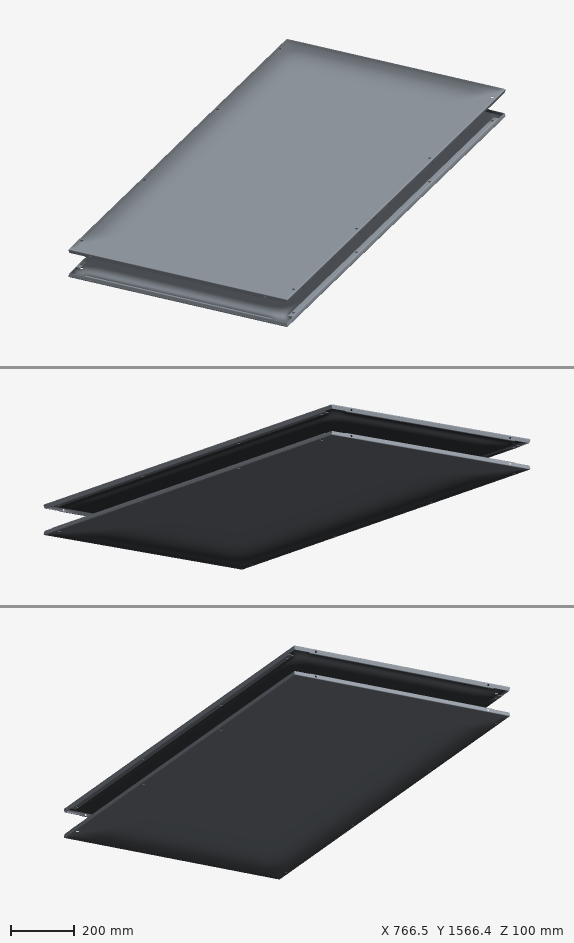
import cadquery as cq
import math

LENGTH_X = 766.45
LENGTH_Y = 1566.44
STACK_HEIGHT = 100.0

SHEET = 1.5
BEND_RADIUS = 3.0
TRAY_HEIGHT = 16.0
FLANGE_LEAN = 13.0

LONG_LIP_INSET = 20.0
SHORT_LIP_INSET = 7.0
LONG_LIP_SETBACK = 45.0
SHORT_LIP_SETBACK = 57.0

PANEL_HOLE_DIAMETER = 10.0
PANEL_HOLE_X = 370.5
PANEL_HOLE_Y = (262.0, 713.0)
FLANGE_HOLE_DIAMETER = 7.0
FLANGE_HOLE_X = 306.0

LEAN = math.radians(FLANGE_LEAN)
SIDES = (-1, 1)
INNER_RADIUS = BEND_RADIUS - SHEET
LOWER_BEND_HEIGHT = BEND_RADIUS * (1 - math.sin(LEAN))


def tapered_block(length_x, length_y, height, radius):
    """Block hanging below z = 0, sides leaning inward, long edges rounded; widest at the upper bend."""
    overhang = radius * (1 / math.cos(LEAN) + math.tan(LEAN) - 1)
    block = (
        cq.Workplane("XY")
        .rect(length_x + 2 * overhang, length_y + 2 * overhang)
        .extrude(-height, taper=FLANGE_LEAN)
    )
    return block.faces("|Z").edges().fillet(radius)


def folded_sheet():
    """Panel with four leaning flanges, each ending in a horizontal lip."""
    outside = tapered_block(LENGTH_X, LENGTH_Y, TRAY_HEIGHT, BEND_RADIUS)
    inside = tapered_block(
        LENGTH_X - 2 * SHEET, LENGTH_Y - 2 * SHEET, TRAY_HEIGHT - 2 * SHEET, INNER_RADIUS
    ).translate((0, 0, -SHEET))
    opening = (
        cq.Workplane("XY", origin=(0, 0, -TRAY_HEIGHT))
        .rect(LENGTH_X - 2 * LONG_LIP_INSET, LENGTH_Y - 2 * SHORT_LIP_INSET)
        .extrude(TRAY_HEIGHT / 2)
    )
    return outside.cut(inside).cut(opening)


def corner_notches():
    """Blocks that remove the lips and lower bends at the four corners."""
    return (
        cq.Workplane("XY", origin=(0, 0, -TRAY_HEIGHT))
        .rect(LENGTH_X, LENGTH_Y, forConstruction=True)
        .vertices()
        .rect(2 * SHORT_LIP_SETBACK, 2 * LONG_LIP_SETBACK)
        .extrude(LOWER_BEND_HEIGHT)
    )


def panel_holes():
    """Drills through the panel and the lip below it."""
    centres = [(sx * PANEL_HOLE_X, sy * y) for sx in SIDES for sy in SIDES for y in PANEL_HOLE_Y]
    return cq.Workplane("XY").pushPoints(centres).circle(PANEL_HOLE_DIAMETER / 2).extrude(-TRAY_HEIGHT)


def flange_holes():
    """Drills along Y through both flanges at the ends of the tray."""
    centres = [(sx * FLANGE_HOLE_X, -TRAY_HEIGHT / 2) for sx in SIDES]
    return (
        cq.Workplane("XZ")
        .pushPoints(centres)
        .circle(FLANGE_HOLE_DIAMETER / 2)
        .extrude(LENGTH_Y / 2, both=True)
    )


def make_tray():
    """Tray with its panel on top at z = 0."""
    return folded_sheet().cut(corner_notches()).cut(panel_holes()).cut(flange_holes())


upper_tray = make_tray().translate((0, 0, STACK_HEIGHT / 2))
lower_tray = upper_tray.mirror("XY")

result = cq.Compound.makeCompound([upper_tray.val(), lower_tray.val()])